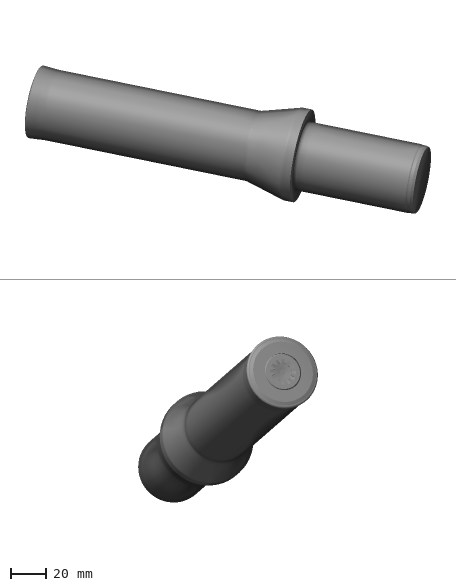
import cadquery as cq
import math

length = 230.0
face_radius = 17.7
bevel_x = 0.7
bevel_radius = 19.8
rim_x = 1.5
rim_radius = 21.2
rim_round = 1.4
barrel_radius = 41.0 / 2
barrel_x = 11.0
barrel_end_x = 130.6
flange_radius = 54.0 / 2
flange_x = 153.8
flange_end_x = 159.4
blend_length = 1.4

shank_radius = 40.0 / 2
relief_radius = 39.5 / 2
groove_floor = 0.7
relief_ramp = 0.7
tail_x = 225.8
tail_chamfer_length = 1.5
tail_chamfer_depth = 0.5

plug_radius = 10.8
plug_depth = 7.0
plug_chamfer = 0.7

spline_count = 12
spline_width = 1.8
spline_radius = 7.5
socket_radius = 5.0
socket_bottom_radius = 1.5
socket_wall_depth = 0.5
socket_bottom_depth = 1.0


def point_toward(start, target, distance):
    """Point lying the given distance from start on the line to target."""
    ratio = distance / math.dist(start, target)
    return tuple(a + (b - a) * ratio for a, b in zip(start, target))


def blended_corner(outline, previous, corner, following):
    """Draw up to a corner and round it with an arc tangent to both lines."""
    arc_start = point_toward(corner, previous, blend_length / 2)
    arc_end = point_toward(corner, following, blend_length / 2)
    return outline.lineTo(*arc_start).tangentArcPoint(arc_end, relative=False)


def revolve_about_x(outline):
    return outline.close().revolve(360, (0, 0, 0), (1, 0, 0))


def make_bar():
    rim = (rim_x, rim_radius)
    barrel_start = (barrel_x, barrel_radius)
    barrel_end = (barrel_end_x, barrel_radius)
    flange_start = (flange_x, flange_radius)
    flange_end = (flange_end_x, flange_radius)
    groove_x = flange_end_x + relief_ramp
    groove_end_x = groove_x + groove_floor

    outline = cq.Workplane("XY").lineTo(0, face_radius).lineTo(bevel_x, bevel_radius)
    outline = outline.radiusArc(rim, rim_round)
    outline = blended_corner(outline, rim, barrel_start, barrel_end)
    outline = blended_corner(outline, barrel_start, barrel_end, flange_start)
    outline = blended_corner(outline, barrel_end, flange_start, flange_end)
    outline = (
        outline.lineTo(*flange_end)
        .lineTo(flange_end_x, shank_radius)
        .lineTo(groove_x, relief_radius)
        .lineTo(groove_end_x, relief_radius)
        .lineTo(groove_end_x + relief_ramp, shank_radius)
        .lineTo(tail_x, shank_radius)
        .lineTo(tail_x + relief_ramp, relief_radius)
        .lineTo(length - tail_chamfer_length, relief_radius)
        .lineTo(length, relief_radius - tail_chamfer_depth)
        .lineTo(length, 0)
    )
    plug_seat = cq.Workplane("YZ").circle(plug_radius).extrude(plug_depth)
    return revolve_about_x(outline).cut(plug_seat)


def make_plug():
    plug = cq.Workplane("YZ").circle(plug_radius).extrude(plug_depth)
    plug = plug.faces("<X").edges().chamfer(plug_chamfer)

    socket_profile = [
        (0, 0),
        (0, socket_radius),
        (socket_wall_depth, socket_radius),
        (socket_bottom_depth, socket_bottom_radius),
        (socket_bottom_depth, 0),
    ]
    socket = revolve_about_x(cq.Workplane("XY").polyline(socket_profile))
    plug = plug.cut(socket)

    spline = cq.Workplane("XY").polyline(
        [(0, 0), (0, spline_radius), (socket_wall_depth, socket_radius), (socket_wall_depth, 0)]
    ).close().extrude(spline_width / 2, both=True)
    for index in range(spline_count):
        angle = index * 360 / spline_count
        plug = plug.cut(spline.rotate((0, 0, 0), (1, 0, 0), angle))
    return plug


bar = make_bar()
plug = make_plug()
result = cq.Compound.makeCompound([bar.val(), plug.val()])